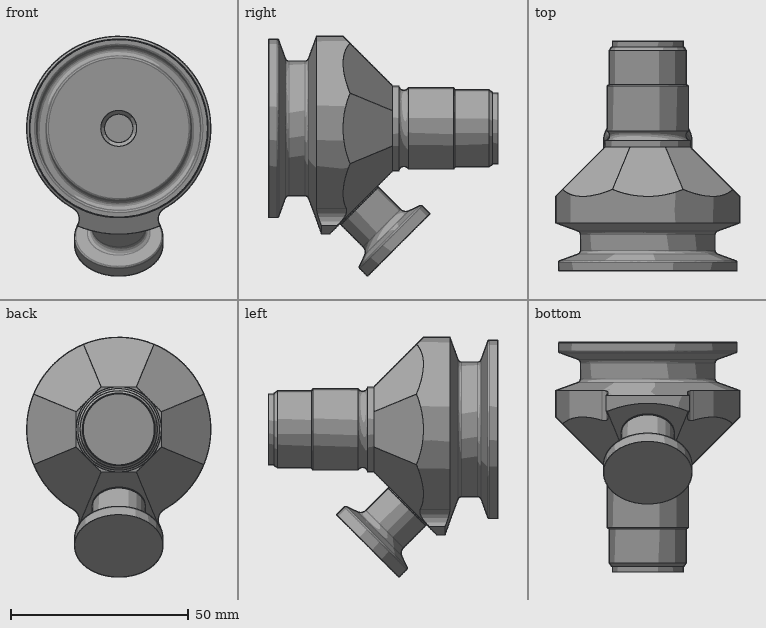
import cadquery as cq
import math

cone_angle = math.radians(20)

flange_radius = 50.4 / 2
flange_back_y = 2.85
flange_fillet = 0.55
flange_edge_chamfer = 0.2
neck_radius = 38.0 / 2
neck_fillet = 1.0

body_radius = 52.0 / 2
body_front_y = 13.6
body_back_y = 35.05
facet_count = 8
facet_end_apothem = 24.0 / 2

lug_radius = 29.85
lug_fillet = 3.4
lug_fillet_x = 14.55
trim_margin = 0.7

collar_radius = 24.0 / 2
collar_end_y = 36.8
relief_radius = 21.5 / 2
relief_middle_y = 38.3
relief_end_y = 39.5
spigot_radius = 23.0 / 2
spigot_end_y = 52.25
tip_radius = 21.8 / 2
tip_start_y = 52.65
tip_end_y = 62.2
tip_chamfer_radius = 20.5 / 2
land_radius = 20.0 / 2
land_start_y = 63.2
spigot_back_y = 64.8

groove_mid_radius = 21.8
groove_mouth_half_width = 1.95
groove_wall_angle = math.radians(70)
groove_lip_radius = 0.6
groove_wall_depth = 0.3
dimple_mouth_radius = 5.1
dimple_floor_radius = 4.0
dimple_depth = 1.1

port_axis_offset = 3.9
port_pipe_radius = 15.0 / 2
port_length = 16.0
port_flange_radius = 25.0 / 2
port_seat_height = 0.4
port_cone_radius = 8.85
port_cone_height = 4.8
port_edge_fillet = 0.55
port_fillet = (port_cone_radius - port_pipe_radius) / (1 - math.sin(cone_angle))


def cone_rise(radial_step):
    return radial_step * math.tan(cone_angle)


flange_neck_y = flange_back_y + cone_rise(flange_radius - neck_radius)
body_neck_y = body_front_y - cone_rise(body_radius - neck_radius)


def select_rim(radius, axial):
    """Box that holds the whole circle of a given radius at y = axial."""
    margin = 0.1
    return cq.selectors.BoxSelector(
        (-radius - margin, axial - margin, -radius - margin),
        (radius + margin, axial + margin, radius + margin),
        boundingbox=True,
    )


def make_flange():
    """Clamp flange and neck, revolved about Y."""
    return (
        cq.Workplane("XY")
        .moveTo(0, 0)
        .lineTo(flange_radius, 0)
        .lineTo(flange_radius, flange_back_y)
        .lineTo(neck_radius, flange_neck_y)
        .lineTo(neck_radius, body_neck_y)
        .lineTo(0, body_neck_y)
        .close()
        .revolve(360, (0, 0, 0), (0, 1, 0))
    )


def make_facet_pyramid():
    """Eight-sided 45 degree frustum that trims the back of the body."""
    front_apothem = facet_end_apothem + body_back_y

    def octagon(apothem, axial):
        corner_radius = apothem / math.cos(math.pi / facet_count)
        corners = []
        for index in range(facet_count):
            angle = (index + 0.5) * 2 * math.pi / facet_count
            x = corner_radius * math.cos(angle)
            z = corner_radius * math.sin(angle)
            corners.append(cq.Vector(x, axial, z))
        return cq.Wire.makePolygon(corners, close=True)

    sections = [octagon(front_apothem, 0), octagon(facet_end_apothem, body_back_y)]
    return cq.Workplane(cq.Solid.makeLoft(sections, True))


def make_body_prism():
    """Round body with the lug below it, joined by a concave arc on each side."""
    center_distance = body_radius + lug_fillet
    center_z = -math.sqrt(center_distance**2 - lug_fillet_x**2)
    tangent_x = lug_fillet_x * body_radius / center_distance
    tangent_z = center_z * body_radius / center_distance
    waist_x = lug_fillet_x - lug_fillet
    reach = (lug_radius**2 - lug_fillet**2 + center_distance**2) / (2 * center_distance)
    offset = math.sqrt(lug_radius**2 - reach**2)
    corner_x = (lug_fillet_x * reach + center_z * offset) / center_distance
    corner_z = (center_z * reach - lug_fillet_x * offset) / center_distance
    return (
        cq.Workplane("XZ", origin=(0, body_neck_y, 0))
        .moveTo(tangent_x, tangent_z)
        .threePointArc((waist_x, center_z), (corner_x, corner_z))
        .threePointArc((0, -lug_radius), (-corner_x, corner_z))
        .threePointArc((-waist_x, center_z), (-tangent_x, tangent_z))
        .threePointArc((0, body_radius), (tangent_x, tangent_z))
        .close()
        .extrude(body_neck_y - body_back_y)
    )


def make_front_cone():
    """Cone that trims the front of the body and of the lug."""
    outer_radius = lug_radius + trim_margin
    return (
        cq.Workplane("XY")
        .moveTo(0, body_neck_y)
        .lineTo(neck_radius, body_neck_y)
        .lineTo(outer_radius, body_neck_y + cone_rise(outer_radius - neck_radius))
        .lineTo(outer_radius, body_back_y)
        .lineTo(0, body_back_y)
        .close()
        .revolve(360, (0, 0, 0), (0, 1, 0))
    )


def make_faceted_body():
    return make_body_prism().intersect(make_front_cone()).intersect(make_facet_pyramid())


def make_spigot():
    return (
        cq.Workplane("XY")
        .moveTo(0, body_front_y)
        .lineTo(collar_radius, body_front_y)
        .lineTo(collar_radius, collar_end_y)
        .threePointArc((relief_radius, relief_middle_y), (spigot_radius, relief_end_y))
        .lineTo(spigot_radius, spigot_end_y)
        .lineTo(tip_radius, tip_start_y)
        .lineTo(tip_radius, tip_end_y)
        .lineTo(tip_chamfer_radius, land_start_y)
        .lineTo(land_radius, land_start_y)
        .lineTo(land_radius, spigot_back_y)
        .lineTo(0, spigot_back_y)
        .close()
        .revolve(360, (0, 0, 0), (0, 1, 0))
    )


def make_gasket_groove():
    """Ring groove with rounded lips, short straight walls and a round floor, all tangent."""
    lip_width = groove_lip_radius * math.sin(groove_wall_angle)
    lip_depth = groove_lip_radius * (1 - math.cos(groove_wall_angle))
    lip_mid_width = groove_lip_radius * math.sin(groove_wall_angle / 2)
    lip_mid_depth = groove_lip_radius * (1 - math.cos(groove_wall_angle / 2))
    wall_end_depth = lip_depth + groove_wall_depth
    wall_half_width = groove_mouth_half_width - lip_width
    floor_half_width = wall_half_width - groove_wall_depth / math.tan(groove_wall_angle)
    floor_depth = wall_end_depth + floor_half_width * math.tan(groove_wall_angle / 2)
    lip_mid_half_width = groove_mouth_half_width - lip_mid_width

    def at(radial_offset, depth):
        return (groove_mid_radius + radial_offset, depth)

    return (
        cq.Workplane("XY")
        .moveTo(*at(-groove_mouth_half_width, 0))
        .threePointArc(at(-lip_mid_half_width, lip_mid_depth), at(-wall_half_width, lip_depth))
        .lineTo(*at(-floor_half_width, wall_end_depth))
        .threePointArc(at(0, floor_depth), at(floor_half_width, wall_end_depth))
        .lineTo(*at(wall_half_width, lip_depth))
        .threePointArc(at(lip_mid_half_width, lip_mid_depth), at(groove_mouth_half_width, 0))
        .close()
        .revolve(360, (0, 0, 0), (0, 1, 0))
    )


def make_dimple():
    """Tapered blind recess in the middle of the front face."""
    return cq.Workplane(
        cq.Solid.makeCone(
            dimple_mouth_radius, dimple_floor_radius, dimple_depth, cq.Vector(0, 0, 0), cq.Vector(0, 1, 0)
        )
    )


def make_port_plane():
    """Plane on the lower facet whose local z points out along the port."""
    facet_level = facet_end_apothem + body_back_y
    seat_y = (port_axis_offset + facet_level) / 2
    seat_z = (port_axis_offset - facet_level) / 2
    return cq.Plane(origin=(0, seat_y, seat_z), xDir=(1, 0, 0), normal=(0, 1, -1))


def make_port_seat():
    return cq.Workplane(make_port_plane()).circle(port_pipe_radius).extrude(port_seat_height)


def make_housing():
    housing = make_flange().union(make_faceted_body())
    for neck_end_y in (flange_neck_y, body_neck_y):
        housing = housing.edges(select_rim(neck_radius, neck_end_y)).fillet(neck_fillet)
    housing = housing.edges(select_rim(flange_radius, flange_back_y)).fillet(flange_fillet)
    housing = housing.edges(select_rim(flange_radius, 0)).chamfer(flange_edge_chamfer)
    housing = housing.union(make_spigot()).union(make_port_seat())
    return housing.cut(make_gasket_groove()).cut(make_dimple())


def make_side_port():
    """Ferrule standing on the seat of the lower 45 degree facet, revolved about its own axis."""
    pipe_end = port_length - port_cone_height - port_fillet * math.cos(cone_angle)
    cone_start = port_length - port_cone_height
    rim_start = cone_start + cone_rise(port_flange_radius - port_cone_radius)
    fillet_center = port_pipe_radius + port_fillet
    sweep_mid = (math.pi / 2 - cone_angle) / 2
    fillet_mid = (
        fillet_center - port_fillet * math.cos(sweep_mid),
        pipe_end + port_fillet * math.sin(sweep_mid),
    )
    profile = (
        cq.Workplane("XY")
        .moveTo(0, port_seat_height)
        .lineTo(port_pipe_radius, port_seat_height)
        .lineTo(port_pipe_radius, pipe_end)
        .threePointArc(fillet_mid, (port_cone_radius, cone_start))
        .lineTo(port_flange_radius, rim_start)
        .lineTo(port_flange_radius, port_length)
        .lineTo(0, port_length)
        .close()
        .revolve(360, (0, 0, 0), (0, 1, 0))
    )
    ferrule = profile.edges(select_rim(port_flange_radius, rim_start)).fillet(port_edge_fillet)
    upright = ferrule.rotate((0, 0, 0), (1, 0, 0), 90)
    return cq.Workplane(upright.val().moved(cq.Location(make_port_plane())))


housing = make_housing()
side_port = make_side_port()

result = cq.Compound.makeCompound([housing.val(), side_port.val()])